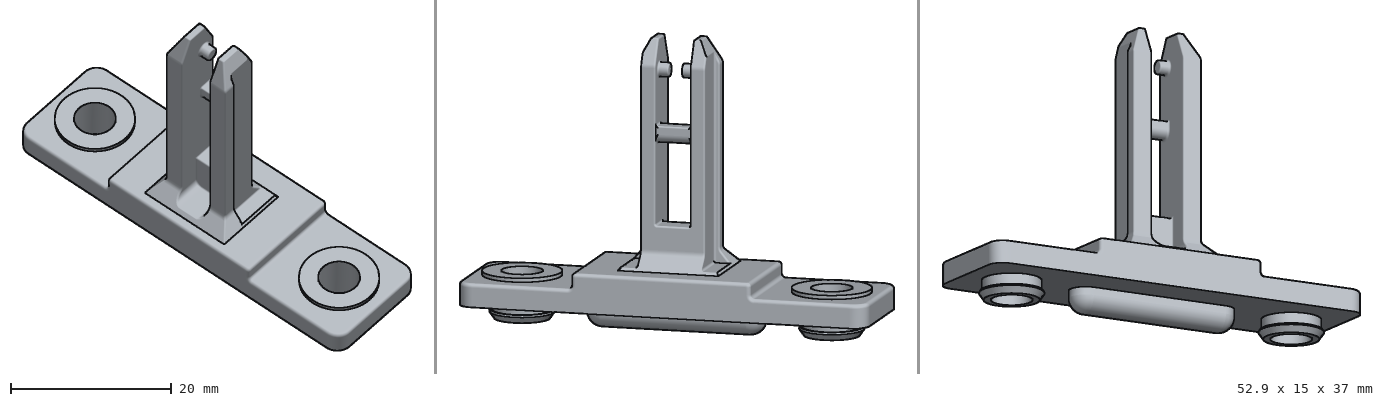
import cadquery as cq
PLATE_LENGTH = 52.85
PLATE_WIDTH = 15.0
PLATE_CORNER_RADIUS = 2.0
WING_HEIGHT = 3.0
BLOCK_LENGTH = 23.1
BLOCK_HEIGHT = 5.0
STEP_FOOT_RADIUS = 0.5
TOP_EDGE_RADIUS = 0.5

BUSHING_SPACING = 40.0
BUSHING_BORE = 5.2
HEAD_DIAMETER = 10.0
HEAD_HEIGHT = 0.5
NECK_DIAMETER = 7.5
NECK_LENGTH = 1.4
LIP_DIAMETER = 8.2
LIP_SHOULDER_DIAMETER = 7.9
LIP_WIDEST_DEPTH = 1.65
LIP_END_DIAMETER = 7.0
BUSHING_DEPTH = 2.5

RIB_LENGTH = BLOCK_LENGTH
RIB_WIDTH = 4.2
RIB_DEPTH = 3.0
RIB_EDGE_RADIUS = 2.0

TOWER_CENTER_Y = -1.05
SHANK_X = 9.7
SHANK_Y = 6.1
FOOT_X = 13.0
FOOT_Y = 10.3
TIP_X = 6.4
TIP_Y = 2.9
FOOT_TOP = 7.0
TAPER_START = 30.7
TOWER_TOP = 34.0
FOOT_BLEND_RADIUS = 1.0
TAPER_BLEND_RADIUS = 1.0
TOWER_EDGE_RADIUS = 0.25

SLOT_WIDTH = 4.5
SLOT_FLOOR = 5.55
SLOT_FLOOR_RADIUS = 1.0

STOP_FRONT_Y = -1.3
STOP_TOP = 10.5
STOP_EDGE_RADIUS = 0.25

RECESS_FACE_X = 4.15
RECESS_FRONT_Y = -2.3
RECESS_FLOOR = 5.35
RECESS_CORNER_RADIUS = 0.3

PEG_DIAMETER = 1.8
PEG_LENGTH = 1.4
PEG_Y = 0.1
PEG_Z = 30.0
BAR_WIDTH = 2.2
BAR_Y = 0.65
BAR_Z = 22.0
PIN_EDGE_RADIUS = 0.2
PIN_ROOT_RADIUS = 0.25
PIN_WALL_THICKNESS = 1.0

SEARCH_MARGIN = 0.1
SIDES = (-1, 1)


def at_height(z):
    """Selector for edges lying at one height."""
    reach = PLATE_LENGTH
    return cq.selectors.BoxSelector((-reach, -reach, z - SEARCH_MARGIN), (reach, reach, z + SEARCH_MARGIN))


def make_plate():
    """Stepped bar with rounded corners, a blended step and rounded top edges."""
    wings = cq.Workplane("XY").box(PLATE_LENGTH, PLATE_WIDTH, WING_HEIGHT, centered=(True, True, False))
    wings = wings.edges("|Z").fillet(PLATE_CORNER_RADIUS)
    block = cq.Workplane("XY").box(BLOCK_LENGTH, PLATE_WIDTH, BLOCK_HEIGHT, centered=(True, True, False))
    plate = wings.union(block)
    near_step = BLOCK_LENGTH / 2 + STEP_FOOT_RADIUS
    step_foot = cq.selectors.BoxSelector(
        (-near_step, -PLATE_WIDTH, WING_HEIGHT - 0.1), (near_step, PLATE_WIDTH, WING_HEIGHT + 0.1)
    )
    plate = plate.edges("|Y").edges(step_foot).fillet(STEP_FOOT_RADIUS)
    above_sides = cq.selectors.BoxSelector(
        (-PLATE_LENGTH, -PLATE_WIDTH, WING_HEIGHT - STEP_FOOT_RADIUS),
        (PLATE_LENGTH, PLATE_WIDTH, BLOCK_HEIGHT + 1),
    )
    plate = plate.edges(above_sides).edges(
        cq.selectors.SubtractSelector(
            cq.selectors.StringSyntaxSelector("%LINE or %CIRCLE"),
            cq.selectors.BoxSelector(
                (-near_step - 0.1, -1, WING_HEIGHT - 0.1), (near_step + 0.1, 1, BLOCK_HEIGHT - 0.1)
            ),
        )
    ).fillet(TOP_EDGE_RADIUS)
    return plate


def make_bushing():
    """Solid of revolution for one bushing on the Z axis, without its bore."""
    head_top = WING_HEIGHT + HEAD_HEIGHT
    outline = [
        (0, head_top),
        (HEAD_DIAMETER / 2, head_top),
        (HEAD_DIAMETER / 2, WING_HEIGHT),
        (NECK_DIAMETER / 2, WING_HEIGHT),
        (NECK_DIAMETER / 2, -NECK_LENGTH),
        (LIP_SHOULDER_DIAMETER / 2, -NECK_LENGTH),
        (LIP_DIAMETER / 2, -LIP_WIDEST_DEPTH),
        (LIP_END_DIAMETER / 2, -BUSHING_DEPTH),
        (0, -BUSHING_DEPTH),
    ]
    return cq.Workplane("XZ").polyline(outline).close().revolve(360, (0, 0), (0, 1))


def make_rib():
    """Round-ended rib under the plate with a rounded lower edge."""
    rib = cq.Workplane("XY").slot2D(RIB_LENGTH, RIB_WIDTH).extrude(-RIB_DEPTH)
    return rib.faces("<Z").edges().fillet(RIB_EDGE_RADIUS)


def make_tower_profile(plane, center, foot, shank, tip):
    """Long prism with the tower outline for one direction, its bends rounded."""
    half_outline = [
        (foot / 2, BLOCK_HEIGHT),
        (shank / 2, FOOT_TOP),
        (shank / 2, TAPER_START),
        (tip / 2, TOWER_TOP),
    ]
    outline = [(center + x, z) for x, z in half_outline]
    outline += [(center - x, z) for x, z in reversed(half_outline)]
    prism = cq.Workplane(plane).polyline(outline).close().extrude(PLATE_WIDTH, both=True)
    bends = (
        (FOOT_TOP, FOOT_BLEND_RADIUS),
        (TAPER_START, TAPER_BLEND_RADIUS),
        (TOWER_TOP, TOWER_EDGE_RADIUS),
    )
    across = "|Y" if plane == "XZ" else "|X"
    for bend_z, radius in bends:
        prism = prism.edges(across).edges(at_height(bend_z)).fillet(radius)
    return prism


def make_recess(side):
    """Cutter for the recess on the side of one blade, open to the rear."""
    recess = cq.Workplane("XY").box(FOOT_X, PLATE_WIDTH, TOWER_TOP, centered=(True, False, False))
    recess = recess.translate((side * (RECESS_FACE_X + FOOT_X / 2), RECESS_FRONT_Y, RECESS_FLOOR))
    inner_face = "<X" if side > 0 else ">X"
    return recess.faces(inner_face).edges("<Y or <Z").fillet(RECESS_CORNER_RADIUS)


def make_slot():
    """Cutter that splits the tower, leaving the stop standing at the rear of the foot."""
    front_part = cq.Workplane("XY").box(SLOT_WIDTH, PLATE_WIDTH, PLATE_WIDTH, centered=(True, False, False))
    front_part = front_part.translate((0, STOP_FRONT_Y - PLATE_WIDTH, SLOT_FLOOR))
    front_part = front_part.edges("|Y and <Z").fillet(SLOT_FLOOR_RADIUS)
    front_part = front_part.faces(">Y").edges("not >Z").fillet(STOP_EDGE_RADIUS)
    upper_part = cq.Workplane("XY", origin=(0, 0, STOP_TOP)).box(
        SLOT_WIDTH, 2 * PLATE_WIDTH, TOWER_TOP, centered=(True, True, False)
    )
    upper_part = upper_part.edges("|Y and <Z").fillet(STOP_EDGE_RADIUS)
    slot = front_part.union(upper_part)
    stop_top_edge = cq.selectors.BoxSelector(
        (-SEARCH_MARGIN, STOP_FRONT_Y - SEARCH_MARGIN, STOP_TOP - SEARCH_MARGIN),
        (SEARCH_MARGIN, STOP_FRONT_Y + SEARCH_MARGIN, STOP_TOP + SEARCH_MARGIN),
    )
    return slot.edges(stop_top_edge).fillet(STOP_EDGE_RADIUS)


def make_blades():
    """Two recessed blades on a flared foot, with rounded corners."""
    tower = make_tower_profile("XZ", 0, FOOT_X, SHANK_X, TIP_X).intersect(
        make_tower_profile("YZ", TOWER_CENTER_Y, FOOT_Y, SHANK_Y, TIP_Y)
    )
    for side in SIDES:
        tower = tower.cut(make_recess(side))
    tower = tower.cut(make_slot())
    rounded_edges = tower.edges("|Z").edges("<Y or >Y")
    for side in SIDES:
        upright_middle = (side * SHANK_X / 2, RECESS_FRONT_Y, (FOOT_TOP + TAPER_START) / 2)
        opening = cq.selectors.NearestToPointSelector(upright_middle)
        rounded_edges = rounded_edges.add(tower.edges("|Z").edges(opening))
    return rounded_edges.fillet(TOWER_EDGE_RADIUS)


def make_peg(side):
    """Peg near a blade tip, pointing across the slot, with a rounded free end."""
    root = cq.Workplane("YZ", origin=(side * SLOT_WIDTH / 2, PEG_Y, PEG_Z))
    peg = root.circle(PEG_DIAMETER / 2).extrude(-side * PEG_LENGTH)
    free_end = "<X" if side > 0 else ">X"
    return peg.faces(free_end).edges().fillet(PIN_EDGE_RADIUS)


def make_bar():
    """Cross bar with a flat top and a half-round underside."""
    half_width = BAR_WIDTH / 2
    bar = (
        cq.Workplane("YZ", origin=(-SLOT_WIDTH / 2, BAR_Y, BAR_Z))
        .moveTo(-half_width, half_width)
        .lineTo(-half_width, 0)
        .threePointArc((0, -half_width), (half_width, 0))
        .lineTo(half_width, half_width)
        .close()
        .extrude(SLOT_WIDTH)
    )
    return bar.edges("|X and >Z").fillet(PIN_EDGE_RADIUS)


def make_pins():
    """Pegs and bar with flared roots, trimmed to the flat part of the slot walls."""
    pins = make_bar()
    for side in SIDES:
        wall_center = side * (SLOT_WIDTH + PIN_WALL_THICKNESS) / 2
        wall = cq.Workplane("XY").box(PIN_WALL_THICKNESS, PLATE_WIDTH, TOWER_TOP, centered=(True, True, False))
        pins = pins.union(wall.translate((wall_center, 0, 0))).union(make_peg(side))
    for side in SIDES:
        wall_x = side * SLOT_WIDTH / 2
        roots = cq.selectors.BoxSelector(
            (wall_x - SEARCH_MARGIN, -PLATE_WIDTH / 4, BAR_Z - BAR_WIDTH),
            (wall_x + SEARCH_MARGIN, PLATE_WIDTH / 4, PEG_Z + PEG_DIAMETER),
        )
        pins = pins.edges(roots).edges("not |X").fillet(PIN_ROOT_RADIUS)
    wall_rear_y = TOWER_CENTER_Y + SHANK_Y / 2 - TOWER_EDGE_RADIUS
    gap = cq.Workplane("XY").box(SLOT_WIDTH, PLATE_WIDTH, TOWER_TOP, centered=(True, False, False))
    return pins.intersect(gap.translate((0, wall_rear_y - PLATE_WIDTH, 0)))


result = make_plate().union(make_rib()).union(make_blades()).union(make_pins())
for side in SIDES:
    result = result.union(make_bushing().translate((side * BUSHING_SPACING / 2, 0, 0)))
bores = (
    cq.Workplane("XY", origin=(0, 0, -BUSHING_DEPTH))
    .pushPoints([(side * BUSHING_SPACING / 2, 0) for side in SIDES])
    .circle(BUSHING_BORE / 2)
    .extrude(BUSHING_DEPTH + BLOCK_HEIGHT)
)
result = result.cut(bores)